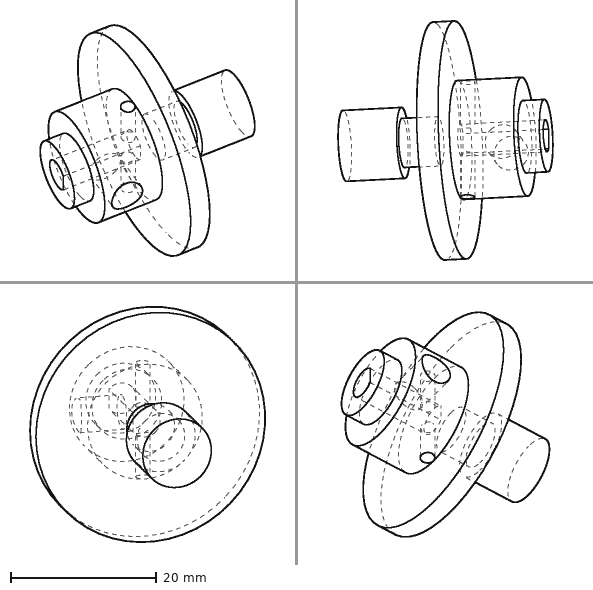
import cadquery as cq

FLANGE_DIAMETER = 32.8
FLANGE_THICKNESS = 3.0

HUB_DIAMETER = FLANGE_DIAMETER / 2
HUB_LENGTH = 9.0

NOSE_DIAMETER = 10.0
NOSE_LENGTH = 3.0

NECK_DIAMETER = 6.8
NECK_LENGTH = 5.0

HEAD_DIAMETER = 9.8
HEAD_LENGTH = 8.2

BORE_DIAMETER = 4.4
BORE_FLAT_OFFSET = 1.7
BORE_DEPTH = NOSE_LENGTH + HUB_LENGTH

PIN_HOLE_DIAMETER = 2.0
PIN_HOLE_Y = -PIN_HOLE_DIAMETER / 2

SCREW_HOLE_DIAMETER = 4.8
SCREW_HOLE_Y = -5.5

NOSE_FACE_Y = -(HUB_LENGTH + NOSE_LENGTH)


def cylinder_along_y(diameter, start_y, length):
    """Cylinder on the Y axis, running from start_y toward +Y."""
    base = cq.Workplane("XZ", origin=(0, start_y, 0))
    return base.circle(diameter / 2).extrude(-length)


def make_body():
    """Nose, hub, flange, neck and head stacked end to end along +Y."""
    steps = [
        (NOSE_DIAMETER, NOSE_LENGTH),
        (HUB_DIAMETER, HUB_LENGTH),
        (FLANGE_DIAMETER, FLANGE_THICKNESS),
        (NECK_DIAMETER, NECK_LENGTH),
        (HEAD_DIAMETER, HEAD_LENGTH),
    ]
    body = cq.Workplane("XZ")
    start_y = NOSE_FACE_Y
    for diameter, length in steps:
        body = body.add(cylinder_along_y(diameter, start_y, length))
        start_y += length
    return body.combine()


def make_bore():
    """Round bore with the segment beyond the flat left solid."""
    round_bore = cylinder_along_y(BORE_DIAMETER, NOSE_FACE_Y, BORE_DEPTH)
    beyond_flat = cq.Workplane("XY").box(
        BORE_DIAMETER, BORE_DEPTH, BORE_DIAMETER, centered=(False, False, True)
    )
    return round_bore.cut(beyond_flat.translate((BORE_FLAT_OFFSET, NOSE_FACE_Y, 0)))


def make_pin_hole():
    """Hole passing right through the hub along Z."""
    middle = cq.Workplane("XY", origin=(0, PIN_HOLE_Y, 0))
    return middle.circle(PIN_HOLE_DIAMETER / 2).extrude(HUB_DIAMETER, both=True)


def make_screw_hole():
    """Hole from the bore flat out through the +X side of the hub."""
    start = cq.Workplane("YZ", origin=(BORE_FLAT_OFFSET, SCREW_HOLE_Y, 0))
    return start.circle(SCREW_HOLE_DIAMETER / 2).extrude(HUB_DIAMETER)


result = make_body().cut(make_bore()).cut(make_pin_hole()).cut(make_screw_hole())